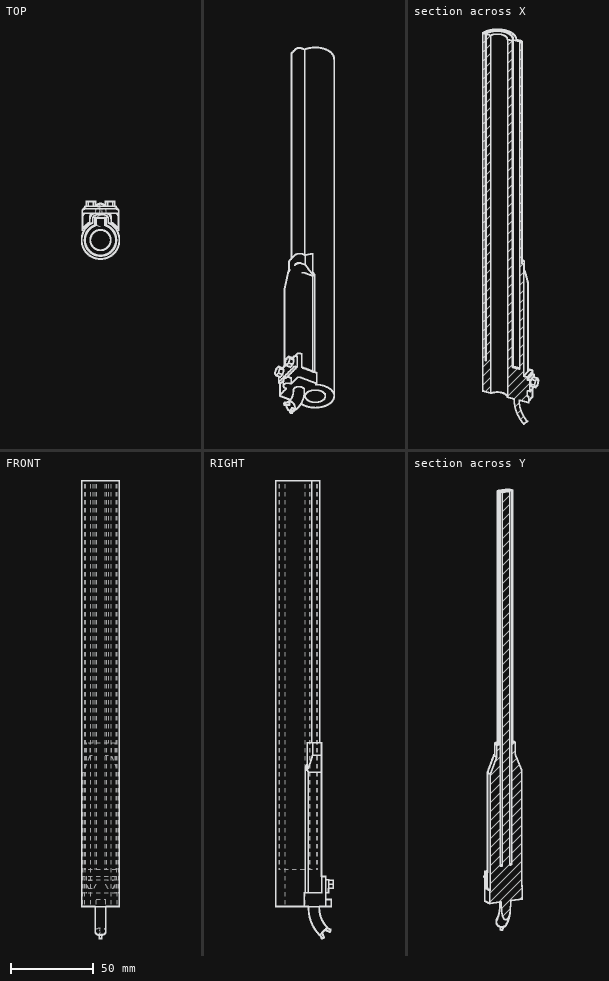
import cadquery as cq
import math


overall_depth = 35.0
overall_height = 276.8

tube_radius = 23.0 / 2
tube_height = 257.5
collar_height = 22.7
bore_radius = 6.0
sheath_wall = 1.8
clearance = 0.42

rail_half_width = 4.7
rail_top = 15.2
rail_corner = 2.5
rail_side_wall = 1.0
rail_roof = 1.7
key_half_width = 2.63

housing_half_width = 10.65
housing_back = 16.3
housing_side_end = 8.3
housing_foot = 6.5
housing_corner = 2.08
housing_bottom = 8.3
shoulder_bottom = 81.5
shoulder_top = 91.5
neck_top = 99.0
neck_wall = housing_back - rail_top
neck_side_wall = 1.7
neck_foot = 7.7

bracket_half_width = 11
bracket_back = 18.8
bracket_corner = 1.25
block_foot = 5.8
plate_top = 18.3

strip_half_width = 9.7
strip_back = 20.5
strip_top = 16.3
strip_corner = 1.0
screw_offset = 5.8
screw_corners = 5.8
screw_height = 13.5
screw_tip = overall_depth - tube_radius
lug_radius = 2.8
lug_tip = 22.1
lug_height = 4.5

cable_radius = 3.3
cable_place = 11.5
cable_straight = 0.8
bend_radius = 20.0
bend_angle = 45
wire_radius = 0.8
wire_offset = 2.08
wire_splay = 22
wire_root = 1.0


def keyhole(radius, half_width, top, corner, bottom, height):
    """A round bar with a rounded rib along its +Y side."""
    bar = cq.Workplane("XY").workplane(offset=bottom).circle(radius).extrude(height)
    rib = cq.Workplane("XY").workplane(offset=bottom).center(0, top / 2)
    rib = rib.rect(2 * half_width, top).extrude(height)
    if corner > 0:
        rib = rib.edges("|Z and >Y").fillet(corner)
    return bar.union(rib)


def box(half_width, front, back, bottom, top):
    """A block centred on X = 0."""
    size = (2 * half_width, back - front, top - bottom)
    return cq.Workplane("XY").box(*size, centered=(True, False, False)).translate((0, front, bottom))


def make_tube():
    collar = cq.Workplane("XY").circle(tube_radius).extrude(collar_height)
    length = tube_height - collar_height
    sheath = keyhole(tube_radius, rail_half_width, rail_top, rail_corner, collar_height, length)
    channel_radius = tube_radius - sheath_wall
    channel_half_width = rail_half_width - rail_side_wall
    channel_top = rail_top - rail_roof
    channel = keyhole(channel_radius, channel_half_width, channel_top, 0, collar_height, length)
    liner_radius = channel_radius - clearance
    key_top = channel_top - clearance
    liner = keyhole(liner_radius, key_half_width, key_top, 0, collar_height, length)
    return sheath.cut(channel).union(liner).union(collar)


def make_housing():
    foot_half_width = math.sqrt(tube_radius**2 - housing_foot**2)
    body = (
        cq.Workplane("XY").workplane(offset=housing_bottom)
        .moveTo(-foot_half_width, housing_foot)
        .lineTo(-housing_half_width, housing_side_end)
        .lineTo(-housing_half_width, housing_back)
        .lineTo(housing_half_width, housing_back)
        .lineTo(housing_half_width, housing_side_end)
        .lineTo(foot_half_width, housing_foot)
        .close()
        .extrude(shoulder_top - housing_bottom)
    )
    neck_half_width = rail_half_width + neck_side_wall
    for side in (-1, 1):
        slope = (
            cq.Workplane("XZ", origin=(0, housing_back, 0))
            .moveTo(side * housing_half_width, shoulder_bottom)
            .lineTo(side * neck_half_width, shoulder_top)
            .lineTo(side * housing_half_width, shoulder_top)
            .close()
            .extrude(housing_back)
        )
        body = body.cut(slope)
    body = body.faces(">Y").edges("not |X").fillet(housing_corner)
    neck = keyhole(
        tube_radius + neck_wall, neck_half_width, housing_back, rail_corner + neck_wall,
        shoulder_bottom, neck_top - shoulder_bottom,
    )
    neck = neck.intersect(
        box(tube_radius + neck_wall, neck_foot, housing_back, shoulder_bottom, neck_top)
    )
    return body.union(neck)


def make_bracket():
    block = box(bracket_half_width, block_foot, bracket_back, 0, housing_bottom)
    plate = box(bracket_half_width, housing_back, bracket_back, 0, plate_top)
    return block.union(plate).edges("|Z and >Y").fillet(bracket_corner)


def make_terminals():
    strip = box(strip_half_width, housing_back, strip_back, housing_bottom, strip_top)
    terminals = strip.edges("|Z and >Y").fillet(strip_corner)
    for side in (-1, 1):
        screw = (
            cq.Workplane("XZ", origin=(side * screw_offset, housing_back, screw_height))
            .polygon(6, screw_corners)
            .extrude(housing_back - screw_tip)
        )
        terminals = terminals.union(screw)
    lug_centre = lug_tip - lug_radius
    lug = cq.Workplane("XY").center(0, lug_centre).circle(lug_radius).extrude(lug_height)
    return terminals.union(lug).union(box(lug_radius, housing_back, lug_centre, 0, lug_height))


def direction(angle):
    """Unit vector that leaves -Z towards +Y by the given angle."""
    return cq.Vector(0, math.sin(math.radians(angle)), -math.cos(math.radians(angle)))


def make_cable():
    outward = direction(bend_angle)
    across = direction(bend_angle + 90)
    bend_start = cq.Vector(0, cable_place, -cable_straight)
    bend_centre = bend_start + cq.Vector(0, bend_radius, 0)
    bend_middle = bend_centre - direction(bend_angle / 2 + 90) * bend_radius
    cable_end = bend_centre - across * bend_radius
    path = (
        cq.Workplane("YZ")
        .moveTo(cable_place, housing_bottom)
        .lineTo(bend_start.y, bend_start.z)
        .threePointArc((bend_middle.y, bend_middle.z), (cable_end.y, cable_end.z))
    )
    cable = (
        cq.Workplane("XY", origin=(0, cable_place, housing_bottom))
        .circle(cable_radius)
        .sweep(path)
    )
    lower_aim = math.radians(bend_angle - wire_splay)
    lower_root = cable_end - across * wire_offset
    drop = overall_height - tube_height + lower_root.z - wire_radius * math.sin(lower_aim)
    wire_length = drop / math.cos(lower_aim)
    for side in (-1, 1):
        aim = direction(bend_angle + side * wire_splay)
        root = cable_end + across * (side * wire_offset) - aim * wire_root
        wire = cq.Solid.makeCylinder(wire_radius, wire_root + wire_length, root, aim)
        cable = cable.union(cq.Workplane(wire))
    return cable


def drill_bore(body):
    return body.cut(cq.Workplane("XY").circle(bore_radius).extrude(tube_height))


envelope = keyhole(tube_radius, rail_half_width, rail_top, rail_corner, 0, tube_height)
attachments = make_housing().union(make_bracket()).union(make_terminals()).union(make_cable())
attachments = attachments.cut(envelope.translate((0, 0, collar_height)))
result = drill_bore(make_tube().union(attachments))